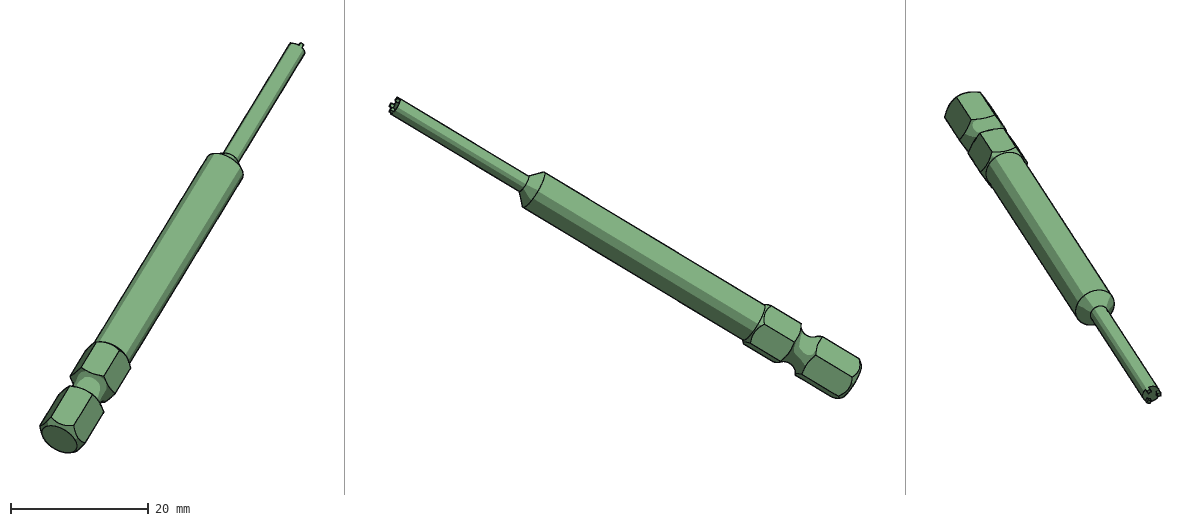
import cadquery as cq
import math

length = 80.0

body_radius = 6.0 / 2
cone_start_y = 55.4
cone_angle = 45.0
shank_radius = 2.6 / 2

flat_step = 0.18
hex_length = 17.0
rear_face_radius = 5.7 / 2
rear_chamfer_angle = 40.0
front_chamfer_angle = 45.0
hex_sides = 6

groove_center_y = 9.2
groove_neck_radius = 2.4
groove_arc_radius = 2.0

tooth_count = 3
tooth_height = 0.6
tooth_width = 0.6
tooth_inner_radius = 0.8
first_tooth_angle = 60.0

hex_corner_radius = (body_radius + flat_step) / math.cos(math.pi / hex_sides)
shank_end_y = length - tooth_height


def revolve_about_y(points):
    """Solid of revolution about the Y axis from (radius, y) points."""
    return cq.Workplane("XY").polyline(points).close().revolve(360, (0, 0, 0), (0, 1, 0))


def along_y(start_y):
    """Workplane at start_y whose normal points to +Y, with local x along +X and local y along -Z."""
    return cq.Workplane(cq.Plane((0, start_y, 0), (1, 0, 0), (0, 1, 0)))


def make_hex_drive():
    hexagon = along_y(0).polygon(hex_sides, 2 * hex_corner_radius).extrude(hex_length)
    rear_chamfer = (hex_corner_radius - rear_face_radius) / math.tan(math.radians(rear_chamfer_angle))
    front_chamfer = (hex_corner_radius - body_radius) / math.tan(math.radians(front_chamfer_angle))
    chamfer_envelope = revolve_about_y([
        (0, 0),
        (rear_face_radius, 0),
        (hex_corner_radius, rear_chamfer),
        (hex_corner_radius, hex_length - front_chamfer),
        (body_radius, hex_length),
        (0, hex_length),
    ])
    groove = cq.Workplane("XY").add(
        cq.Solid.makeTorus(
            groove_neck_radius + groove_arc_radius,
            groove_arc_radius,
            cq.Vector(0, groove_center_y, 0),
            cq.Vector(0, 1, 0),
        )
    )
    return hexagon.intersect(chamfer_envelope).cut(groove)


def make_body_and_shank():
    cone_end_y = cone_start_y + (body_radius - shank_radius) / math.tan(math.radians(cone_angle))
    return revolve_about_y([
        (0, hex_length),
        (body_radius, hex_length),
        (body_radius, cone_start_y),
        (shank_radius, cone_end_y),
        (shank_radius, shank_end_y),
        (0, shank_end_y),
    ])


def make_teeth():
    ring = along_y(shank_end_y).circle(shank_radius).circle(tooth_inner_radius).extrude(tooth_height)
    radial_bars = cq.Workplane("XY")
    for index in range(tooth_count):
        bar = along_y(shank_end_y).center(shank_radius / 2, 0).rect(shank_radius, tooth_width)
        angle = first_tooth_angle + index * 360 / tooth_count
        radial_bars = radial_bars.add(bar.extrude(tooth_height).rotate((0, 0, 0), (0, 1, 0), angle))
    return ring.intersect(radial_bars.combine())


result = make_hex_drive().union(make_body_and_shank()).union(make_teeth())